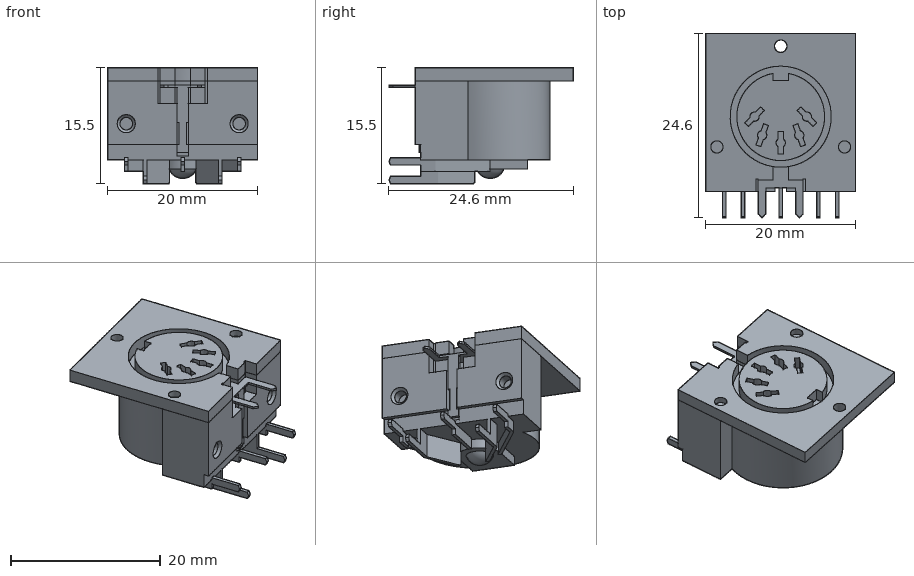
import cadquery as cq
import math


width = 20.0
front_y = -10.0
flange_depth = 21.1
flange_thickness = 1.8
total_length = 24.6

ring_radius = 6.75
plug_radius = 5.85
key_width = 2.07
key_bottom_y = 4.8

block_height = 10.5
barrel_radius = 7.97
box_back_y = -2.98
step_depth = 0.71
step_height = 2.02

recess_width = 6.0
recess_back_y = -8.46
relief_width = 0.3
relief_back_y = -8.3
recess_floor_z = -3.0
channel_width = 2.07

sheet_thickness = 0.3
clip_top_z = -0.55
clip_front_y = -9.5
clip_leg_width = 1.0
clip_tip_length = 0.55
strip_width = 1.53
strip_thickness = 0.5
strip_bottom_z = -9.52
strip_notch_width = 0.27
strip_notch_top_z = -5.5
strip_slot_floor_z = -9.96

flange_hole_radius = 0.8
rear_hole_y = 9.4
side_hole_x = 8.5
side_hole_y = -4.03
side_hole_depth = 0.9
front_hole_x = 7.53
front_hole_z = -5.68
front_hole_radius = 0.84
front_hole_depth = 1.97
countersink_radius = 1.2
countersink_depth = 0.4

contact_circle_radius = 3.5
contact_hole_radius = 0.62
contact_slot_width = 0.7
contact_slot_length = 3.0
contact_openings = [(-90, -45), (-45, -20), (0, 0), (45, 20), (90, 45)]

contact_thickness = 0.5
contact_pitch = 2.5
leg_height = 1.0
leg_tip_length = 0.2
outer_leg_top_z = -10.2
outer_contact_bottom_z = -12.03
inner_contact_bottom_z = -13.7
outer_bend_y = -7.3
inner_bend_y = -6.95
outer_end = (-2.95, -0.17)
inner_end = (-1.95, -2.2)
inner_corner_chamfer = 0.2

boss_radius = 3.0
boss_length = 5.0
boss_height = 1.25
dome_radius = 1.82
dome_height = 1.23

back_y = front_y + flange_depth
leg_end_y = back_y - total_length
step_y = front_y + step_depth
step_z = -block_height + step_height
strip_back_y = clip_front_y + strip_thickness
relief_outer_x = recess_width / 2 + relief_width
clip_leg_x = (recess_width - clip_leg_width) / 2


def box(x_range, y_range, z_range):
    """Box between the given limits along X, Y and Z."""
    size = [high - low for low, high in (x_range, y_range, z_range)]
    corner = (x_range[0], y_range[0], z_range[0])
    return cq.Workplane("XY").box(*size, centered=False).translate(corner)


def centred_box(x_width, y_range, z_range):
    """Box that is symmetric about the YZ plane."""
    return box((-x_width / 2, x_width / 2), y_range, z_range)


def cylinder(radius, bottom_z, top_z, x=0, y=0):
    """Upright cylinder."""
    return cq.Workplane("XY", origin=(x, y, bottom_z)).circle(radius).extrude(top_z - bottom_z)


def recess_cutter(bottom_z, top_z):
    """Recess with end reliefs, and its channel up to the edge of the plug opening."""
    heights = (bottom_z, top_z)
    cutter = centred_box(recess_width, (front_y, recess_back_y), heights)
    for side in (-1, 1):
        relief_x = sorted((side * recess_width / 2, side * relief_outer_x))
        cutter = cutter.union(box(relief_x, (front_y, relief_back_y), heights))
    channel = centred_box(channel_width, (recess_back_y, 0), heights)
    return cutter.union(channel.cut(cylinder(ring_radius, bottom_z, top_z)))


def make_flange():
    """Plate with the plug opening, the clip recess and three screw holes."""
    plate = centred_box(width, (front_y, back_y), (0, flange_thickness))
    plate = plate.cut(cylinder(ring_radius, 0, flange_thickness))
    plate = plate.cut(recess_cutter(0, flange_thickness))
    plate = plate.cut(cylinder(flange_hole_radius, 0, flange_thickness, y=rear_hole_y))
    for side in (-1, 1):
        hole = cylinder(
            flange_hole_radius,
            flange_thickness - side_hole_depth,
            flange_thickness,
            side * side_hole_x,
            side_hole_y,
        )
        plate = plate.cut(hole)
    return plate


def make_plug():
    """Round plug with a key notch and the five contact openings."""
    plug = cylinder(plug_radius, 0, flange_thickness)
    plug = plug.cut(centred_box(key_width, (key_bottom_y, plug_radius), (0, flange_thickness)))
    for place_angle, slot_angle in contact_openings:
        angle = math.radians(place_angle)
        x = contact_circle_radius * math.sin(angle)
        y = -contact_circle_radius * math.cos(angle)
        slot = centred_box(
            contact_slot_width,
            (-contact_slot_length / 2, contact_slot_length / 2),
            (0, flange_thickness),
        )
        opening = slot.union(cylinder(contact_hole_radius, 0, flange_thickness))
        plug = plug.cut(opening.rotate((0, 0, 0), (0, 0, 1), slot_angle).translate((x, y, 0)))
    return plug


def make_body():
    """Barrel and front box, with the front step, clip recess and front screw holes."""
    body = cylinder(barrel_radius, -block_height, 0)
    body = body.union(centred_box(width, (front_y, box_back_y), (-block_height, 0)))
    body = body.cut(centred_box(width, (front_y, step_y), (-block_height, step_z)))
    body = body.cut(recess_cutter(recess_floor_z, 0))
    body = body.cut(centred_box(strip_width, (front_y, strip_back_y), (strip_slot_floor_z, 0)))
    for side in (-1, 1):
        mouth = cq.Vector(side * front_hole_x, front_y, front_hole_z)
        inward = cq.Vector(0, 1, 0)
        countersink = cq.Solid.makeCone(
            countersink_radius, front_hole_radius, countersink_depth, mouth, inward
        )
        hole = cq.Solid.makeCylinder(front_hole_radius, front_hole_depth, mouth, inward)
        body = body.cut(cq.Workplane(countersink)).cut(cq.Workplane(hole))
    return body


def make_boss():
    """Boss under the barrel, rounded at the front, with a dome centred on the axis."""
    boss_bottom_z = -block_height - boss_height
    boss = cylinder(boss_radius, boss_bottom_z, -block_height)
    boss = boss.union(
        centred_box(2 * boss_radius, (0, boss_length), (boss_bottom_z, -block_height))
    )
    dome = (
        cq.Workplane("XZ", origin=(0, 0, boss_bottom_z))
        .lineTo(dome_radius, 0)
        .threePointArc(dome_middle(), (0, -dome_height))
        .close()
        .revolve(360, (0, 0, 0), (0, 1, 0))
    )
    return boss.union(dome)


def dome_middle():
    """Point halfway along the dome's arc, from its rim to its pole."""
    sphere_radius = (dome_radius**2 + dome_height**2) / (2 * dome_height)
    half_angle = math.asin(dome_radius / sphere_radius) / 2
    drop = sphere_radius - dome_height
    return sphere_radius * math.sin(half_angle), drop - sphere_radius * math.cos(half_angle)


def make_leg(x, top_z):
    """Straight solder leg, with a wedge tip, that runs forward from the step."""
    bottom_z = top_z - leg_height
    shoulder_y = leg_end_y + leg_tip_length
    return (
        cq.Workplane("YZ", origin=(x - contact_thickness / 2, 0, 0))
        .moveTo(step_y, top_z)
        .lineTo(shoulder_y, top_z)
        .lineTo(leg_end_y, (top_z + bottom_z) / 2)
        .lineTo(shoulder_y, bottom_z)
        .lineTo(step_y, bottom_z)
        .close()
        .extrude(contact_thickness)
    )


def make_slanted_contact(x, bend_y, end, bottom_z, leg_top_z, corner_chamfer=0):
    """Upright blade that runs back from the step to a bend, then slants to its end."""
    half_thickness = contact_thickness / 2
    blade_z = (bottom_z, -block_height)
    straight = box((x - half_thickness, x + half_thickness), (step_y, bend_y), blade_z)
    run_x = end[0] - x
    run_y = end[1] - bend_y
    turn = math.degrees(math.atan2(-run_x, run_y))
    slant = centred_box(contact_thickness, (0, math.hypot(run_x, run_y)), blade_z)
    if corner_chamfer:
        slant = slant.faces(">Y").edges("<Z").chamfer(corner_chamfer)
    slant = slant.rotate((0, 0, 0), (0, 0, 1), turn).translate((x, bend_y, 0))
    knee = cylinder(half_thickness, *blade_z, x, bend_y)
    return straight.union(slant).union(knee).union(make_leg(x, leg_top_z))


def make_contacts():
    """Two mirrored pairs of slanted contacts, and a straight one in the middle."""
    inner_leg_top_z = inner_contact_bottom_z + leg_height
    outer = make_slanted_contact(
        -3 * contact_pitch, outer_bend_y, outer_end, outer_contact_bottom_z, outer_leg_top_z
    )
    inner = make_slanted_contact(
        -2 * contact_pitch,
        inner_bend_y,
        inner_end,
        inner_contact_bottom_z,
        inner_leg_top_z,
        inner_corner_chamfer,
    )
    middle = centred_box(
        contact_thickness,
        (step_y, -contact_circle_radius),
        (outer_contact_bottom_z, -block_height),
    ).union(make_leg(0, outer_leg_top_z))
    left = outer.union(inner)
    return left.union(left.mirror("YZ")).union(middle)


def make_block():
    """Socket block as one solid."""
    return make_body().union(make_plug()).union(make_boss()).union(make_contacts())


def make_clip():
    """Flat bar with a tongue and two pointed legs, and a notched strip down the front."""
    heights = (clip_top_z - sheet_thickness, clip_top_z)
    clip = centred_box(recess_width, (clip_front_y, recess_back_y), heights)
    tongue = centred_box(channel_width, (recess_back_y, 0), heights)
    clip = clip.union(tongue.cut(cylinder(ring_radius, *heights)))
    shoulder_y = leg_end_y + clip_tip_length
    for side in (-1, 1):
        leg = (
            cq.Workplane("XY", origin=(side * clip_leg_x, 0, heights[0]))
            .moveTo(-clip_leg_width / 2, recess_back_y)
            .lineTo(-clip_leg_width / 2, shoulder_y)
            .lineTo(0, leg_end_y)
            .lineTo(clip_leg_width / 2, shoulder_y)
            .lineTo(clip_leg_width / 2, recess_back_y)
            .close()
            .extrude(sheet_thickness)
        )
        clip = clip.union(leg)
    strip = centred_box(strip_width, (clip_front_y, strip_back_y), (strip_bottom_z, clip_top_z))
    for side in (-1, 1):
        edge_x = side * strip_width / 2
        notch_x = sorted((edge_x, edge_x - side * strip_notch_width))
        notch = box(notch_x, (clip_front_y, strip_back_y), (step_z, strip_notch_top_z))
        strip = strip.cut(notch)
    return clip.union(strip)


flange = make_flange()
block = make_block()
clip = make_clip()
result = cq.Compound.makeCompound([flange.val(), block.val(), clip.val()])